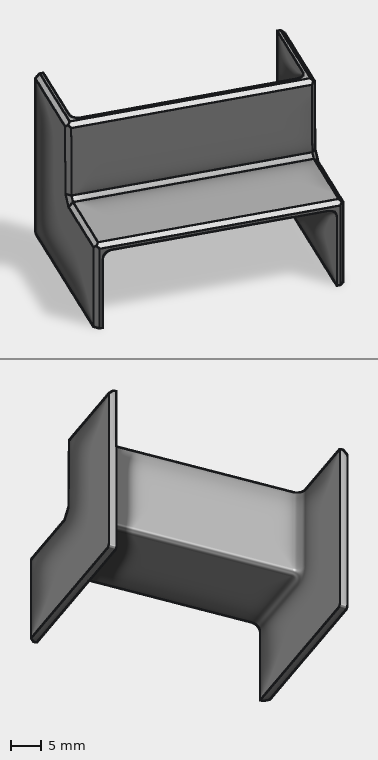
import cadquery as cq
import math

leg_length = 31.1
width = 43.47

plate_thickness = 1.4
inner_step = 14.95
shelf_top = 16.4
upright_top_x = 16.35
upright_foot_x = 16.55

outer_chamfer = 0.8
corner_bevel = 0.8
plate_fillet = 1.5
inner_edge_radius = 1.0
heel_radius = 0.5

half_width = width / 2
gap_width = width - 2 * plate_thickness


def prism(outline, length):
    """Extrude an XZ outline along Y, centred on the XZ plane."""
    return cq.Workplane("XZ").polyline(outline).close().extrude(length / 2, both=True)


def outer_block():
    """Solid L block, chamfered everywhere except along its rear and bottom faces."""
    outline = [
        (0, 0),
        (leg_length, 0),
        (leg_length, shelf_top),
        (upright_foot_x, shelf_top),
        (upright_top_x, leg_length),
        (0, leg_length),
    ]
    block = prism(outline, width)
    side_chamfered = block.edges("(<Y or >Y) exc (<X or <Z)").chamfer(outer_chamfer)
    end_chamfered = block.edges("(|Y and (>X or >Z)) exc (<X or <Z)").chamfer(outer_chamfer)
    return side_chamfered.intersect(end_chamfered)


def corner_fill():
    """Bevelled ridge filling the inside corner, its ends sloping with the side chamfers."""
    draft_slope = (upright_foot_x - upright_top_x) / (leg_length - shelf_top)
    bevel_start_x = upright_foot_x - draft_slope * corner_bevel
    bevel_middle = (bevel_start_x + corner_bevel / 2, 0, shelf_top + corner_bevel / 2)

    section_plane = cq.Plane(origin=bevel_middle, xDir=(0, 1, 0), normal=(1, 0, -1))
    flat_half = half_width - outer_chamfer
    end_recess = outer_chamfer / math.sqrt(2)
    root_depth = 3 * outer_chamfer
    buried_reach = corner_bevel + outer_chamfer
    section = [
        (-flat_half, 0),
        (flat_half, 0),
        (half_width, -end_recess),
        (half_width, -root_depth),
        (-half_width, -root_depth),
        (-half_width, -end_recess),
    ]
    return cq.Workplane(section_plane).polyline(section).close().extrude(buried_reach, both=True)


def cavity():
    """Space between the side plates, behind the upright and below the shelf."""
    outline = [
        (0, 0),
        (leg_length, 0),
        (leg_length, inner_step),
        (inner_step, inner_step),
        (inner_step, leg_length),
        (0, leg_length),
    ]
    return prism(outline, gap_width)


def round_inner_edges(body):
    """Round the edge where upright meets shelf, then the roots of the side plates around it."""
    near = 0.01

    def on_inner_edge(edge):
        center = edge.Center()
        return abs(center.x - inner_step) < near and abs(center.z - inner_step) < near

    def on_upright(edge):
        return abs(edge.Center().x - inner_step) < near

    body = body.edges("|Y").filter(on_inner_edge).fillet(inner_edge_radius)
    return body.edges("|Z").filter(on_upright).fillet(plate_fillet)


def round_heels(body):
    """Round the lower rear corner of each side plate."""
    return body.edges("|Y and <X and <Z").fillet(heel_radius)


bracket = outer_block().union(corner_fill()).cut(cavity())
bracket = round_inner_edges(bracket)
result = round_heels(bracket)